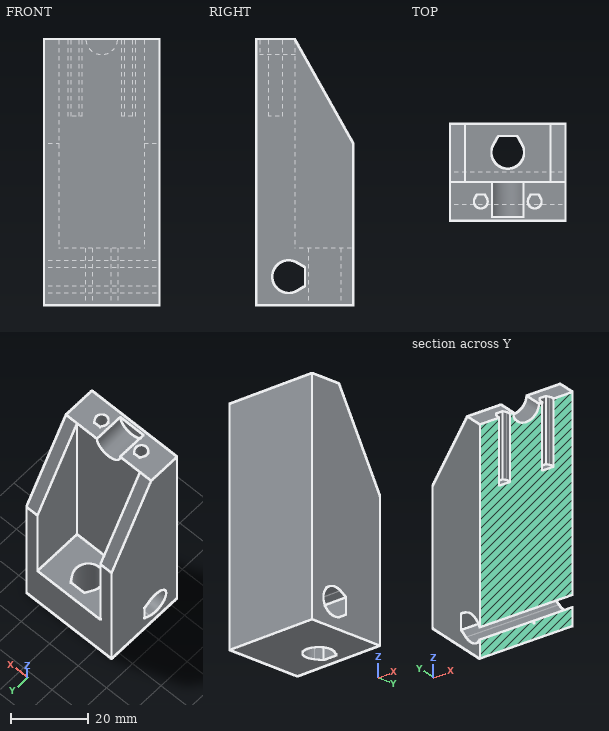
import cadquery as cq
import math

width = 30.0
depth = 25.2
height = 69.1
top_depth = 10.0
slope_bottom_z = 42.0

side_wall = 3.95
cavity_floor_z = 14.9

rod_hole_radius = 4.2
vertical_hole_y = 17.75
cross_hole_y = 8.4
cross_hole_z = cavity_floor_z / 2

groove_radius = 4.1
groove_front_wall = 1.05
screw_hole_radius = 1.8
screw_hole_offset = 7.0
screw_hole_y = top_depth / 2
screw_hole_depth = 20.05

teardrop_half_angle = math.radians(30)


def teardrop_hole(plane, radius, length):
    """Round hole whose +Y side tapers along two tangents to a flat one radius from the centre."""
    tip = radius / math.sin(teardrop_half_angle)
    flat_half = (tip - radius) * math.tan(teardrop_half_angle)
    tangent_x = radius * math.cos(teardrop_half_angle)
    tangent_y = radius * math.sin(teardrop_half_angle)
    return (
        cq.Workplane(plane)
        .moveTo(-flat_half, radius)
        .lineTo(-tangent_x, tangent_y)
        .threePointArc((0, -radius), (tangent_x, tangent_y))
        .lineTo(flat_half, radius)
        .close()
        .extrude(length)
    )


body = (
    cq.Workplane("YZ")
    .polyline([(0, 0), (depth, 0), (depth, slope_bottom_z), (top_depth, height), (0, height)])
    .close()
    .extrude(width / 2, both=True)
)

cavity = cq.Workplane("XY").box(
    width - 2 * side_wall,
    depth - top_depth,
    height - cavity_floor_z,
    centered=(True, False, False),
).translate((0, top_depth, cavity_floor_z))
body = body.cut(cavity)

groove = (
    cq.Workplane("XZ", origin=(0, top_depth, height))
    .circle(groove_radius)
    .extrude(top_depth - groove_front_wall)
)
body = body.cut(groove)

vertical_plane = cq.Plane(origin=(0, vertical_hole_y, 0))
body = body.cut(teardrop_hole(vertical_plane, rod_hole_radius, cavity_floor_z))

cross_plane = cq.Plane(
    origin=(width / 2, cross_hole_y, cross_hole_z),
    xDir=(0, 0, 1),
    normal=(-1, 0, 0),
)
body = body.cut(teardrop_hole(cross_plane, rod_hole_radius, width))

for side in (-1, 1):
    screw_plane = cq.Plane(origin=(side * screw_hole_offset, screw_hole_y, height - screw_hole_depth))
    body = body.cut(teardrop_hole(screw_plane, screw_hole_radius, screw_hole_depth))

result = body